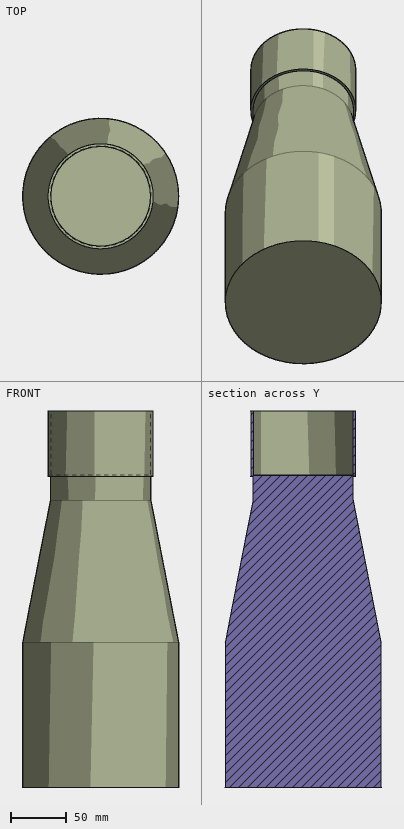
import cadquery as cq

total_height = 337.0
body_diameter = 139.7
body_height = 130.0
taper_height = 127.0
neck_diameter = 90.0
collar_diameter = 94.0
collar_height = 58.5
socket_diameter = 89.0
socket_depth = 57.5

taper_top = body_height + taper_height
collar_base = total_height - collar_height


def make_outer_body():
    """Revolve the half profile: cylinder, taper, neck and collar."""
    body_radius = body_diameter / 2
    neck_radius = neck_diameter / 2
    collar_radius = collar_diameter / 2
    return (
        cq.Workplane("XZ")
        .moveTo(0, 0)
        .lineTo(body_radius, 0)
        .lineTo(body_radius, body_height)
        .lineTo(neck_radius, taper_top)
        .lineTo(neck_radius, collar_base)
        .lineTo(collar_radius, collar_base)
        .lineTo(collar_radius, total_height)
        .lineTo(0, total_height)
        .close()
        .revolve(360, (0, 0, 0), (0, 1, 0))
    )


def make_socket():
    """Flat-bottomed bore that opens at the top of the collar."""
    return (
        cq.Workplane("XY")
        .workplane(offset=total_height - socket_depth)
        .circle(socket_diameter / 2)
        .extrude(socket_depth)
    )


result = make_outer_body().cut(make_socket())